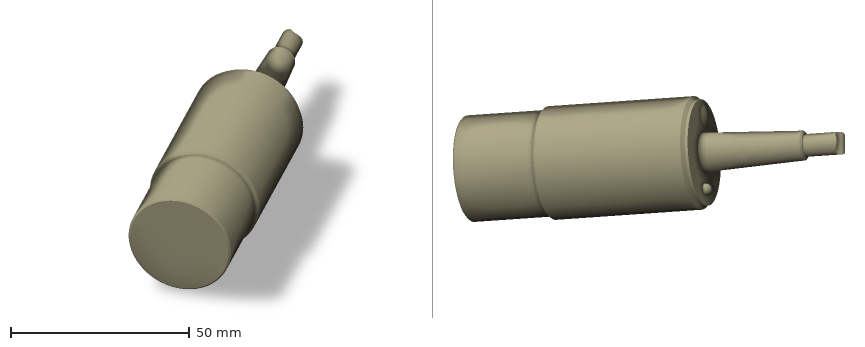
import cadquery as cq
import math

overall_length = 110.47

nose_diameter = 30.0
nose_length = 23.5
nose_chamfer = 0.5

body_diameter = 32.0
body_end = 68.6
body_front_chamfer = (body_diameter - nose_diameter) / 2

cap_diameter = 30.0
cap_end = 69.5
body_rear_chamfer = (body_diameter - cap_diameter) / 2

relief_base_diameter = 11.2
relief_tip_diameter = 8.4
relief_end = 99.5
relief_chamfer = 0.5

cable_diameter = 6.4
break_arc_radius = 2.0

fitting_offset = 10.5
lamp_diameter = 3.0
lamp_height = 2.1
cover_diameter = 6.4
cover_height = 0.7


def revolve_about_y(profile):
    """Full turn of a closed half profile in the XY plane about the Y axis."""
    return profile.revolve(360, (0, 0), (0, 1))


def make_housing():
    """Nose, body and rear cap revolved about the Y axis."""
    nose_radius = nose_diameter / 2
    body_radius = body_diameter / 2
    cap_radius = cap_diameter / 2
    profile = [
        (0, 0),
        (nose_radius - nose_chamfer, 0),
        (nose_radius, nose_chamfer),
        (nose_radius, nose_length),
        (body_radius, nose_length + body_front_chamfer),
        (body_radius, body_end - body_rear_chamfer),
        (cap_radius, body_end),
        (cap_radius, cap_end),
        (0, cap_end),
    ]
    return revolve_about_y(cq.Workplane("XY").polyline(profile).close())


def make_strain_relief():
    """Truncated cone with a chamfered tip, starting at the rear cap."""
    tip_radius = relief_tip_diameter / 2
    profile = [
        (0, cap_end),
        (relief_base_diameter / 2, cap_end),
        (tip_radius, relief_end - relief_chamfer),
        (tip_radius - relief_chamfer, relief_end),
        (0, relief_end),
    ]
    return revolve_about_y(cq.Workplane("XY").polyline(profile).close())


def make_cable():
    """Round cable whose end is trimmed by a bulge at -X and a hollow at +X."""
    radius = cable_diameter / 2
    half_chord = radius / 2
    arc_height = break_arc_radius - math.sqrt(break_arc_radius**2 - half_chord**2)
    break_base = overall_length - arc_height
    outline = (
        cq.Workplane("XY")
        .moveTo(-radius, cap_end)
        .lineTo(-radius, break_base)
        .threePointArc((-half_chord, overall_length), (0, break_base))
        .threePointArc((half_chord, break_base - arc_height), (radius, break_base))
        .lineTo(radius, cap_end)
        .close()
        .extrude(radius, both=True)
    )
    rear_face = cq.Plane(origin=(0, cap_end, 0), xDir=(1, 0, 0), normal=(0, 1, 0))
    round_bar = cq.Workplane(rear_face).circle(radius).extrude(overall_length - cap_end)
    return round_bar.intersect(outline)


def make_dome(diameter, height, dome_height, z_offset):
    """Round button on the rear face: a straight base under a spherical dome."""
    radius = diameter / 2
    sphere_radius = (radius**2 + dome_height**2) / (2 * dome_height)
    half_angle = math.atan2(radius, sphere_radius - dome_height) / 2
    apex = cap_end + height
    arc_middle = (
        sphere_radius * math.sin(half_angle),
        apex - sphere_radius * (1 - math.cos(half_angle)),
    )
    root = body_end
    profile = (
        cq.Workplane("XY")
        .moveTo(0, root)
        .lineTo(radius, root)
        .lineTo(radius, apex - dome_height)
        .threePointArc(arc_middle, (0, apex))
        .close()
    )
    return revolve_about_y(profile).translate((0, 0, z_offset))


housing = make_housing()
strain_relief = make_strain_relief()
cable = make_cable()
lamp = make_dome(lamp_diameter, lamp_height, lamp_diameter / 2, -fitting_offset)
screw_cover = make_dome(cover_diameter, cover_height, cover_height, fitting_offset)

result = housing.union(strain_relief).union(cable).union(lamp).union(screw_cover)